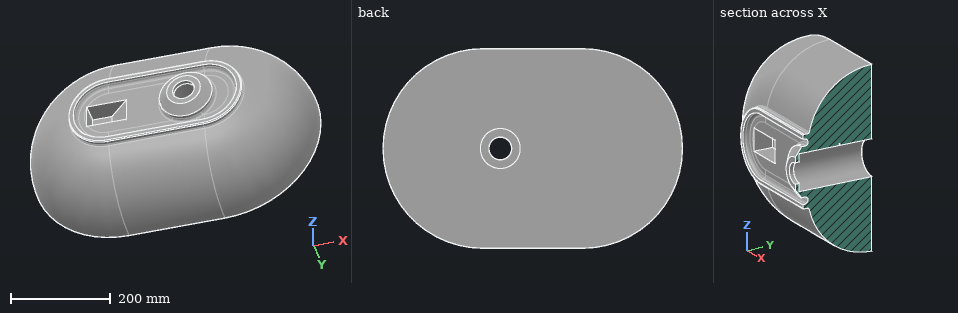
import cadquery as cq
import math

straight = 200.0
rim_radius = 200.0
bowl_depth = 150.0
bottom_radius = rim_radius - bowl_depth

foot_outer_radius = 80.0
foot_inner_radius = 70.0
foot_bottom = 161.0
foot_inner_draft = 10.0
foot_chamfer_height = 3.2
foot_chamfer_width = 1.3
foot_outer_root = 3.0
foot_inner_root = 6.5

drain_x = 65.0
drain_radius = 55.0
drain_tip_radius = 35.0
drain_cone_height = 15.0
drain_bottom = 179.0
drain_root = 5.0
drain_hole_radius = 22.5
drain_bore_radius = 40.0
drain_lip = 10.0

pocket_left = -145.0
pocket_right = -62.0
pocket_width = 50.0
pocket_depth = 43.0

overlap = 20.0
near = 0.05
rim_land = 0.001


def bowl_depth_at(radius):
    """Depth of the bowl's outer surface where its round end has the given radius."""
    return math.sqrt(bowl_depth**2 - (radius - bottom_radius) ** 2)


def depth_plane(depth):
    """Plane facing -Y at the given depth below the rim."""
    return cq.Workplane("XZ", origin=(0, -depth, 0))


def stadium(depth, radius, height, draft=0):
    """Round-ended block from a depth toward -Y, or toward +Y for a negative height."""
    outline = depth_plane(depth).slot2D(straight + 2 * radius, 2 * radius)
    return outline.extrude(height, taper=draft)


def make_bowl():
    """The wall is one quarter arc from the rim down to the flat bottom."""
    block = stadium(0, rim_radius, bowl_depth)
    return block.faces("<Y").edges().fillet(bowl_depth - rim_land)


def make_foot():
    """Ring with a steep outer chamfer and a drafted inner wall, wider at its open end."""
    height = foot_bottom - bowl_depth + overlap
    outer = stadium(foot_bottom, foot_outer_radius, -height)
    outer = outer.faces("<Y").chamfer(foot_chamfer_height, foot_chamfer_width)
    return outer.cut(stadium(foot_bottom, foot_inner_radius, -height, foot_inner_draft))


def make_drain():
    """Round boss with a conical end."""
    top = overlap - bowl_depth
    profile = [
        (0, top),
        (drain_radius, top),
        (drain_radius, drain_cone_height - drain_bottom),
        (drain_tip_radius, -drain_bottom),
        (0, -drain_bottom),
    ]
    boss = cq.Workplane("XY").polyline(profile).close().revolve(360, (0, 0, 0), (0, 1, 0))
    return boss.translate((drain_x, 0, 0))


def make_drain_bore():
    """Wide bore from the rim side that leaves a thin lip around the drain hole."""
    hole = depth_plane(0).center(drain_x, 0).circle(drain_hole_radius).extrude(drain_bottom)
    bore_depth = drain_bottom - drain_lip
    bore = depth_plane(0).center(drain_x, 0).circle(drain_bore_radius).extrude(bore_depth)
    return hole.union(bore)


def make_pocket():
    """Rectangular pocket opening on the bowl bottom."""
    top = pocket_depth - bowl_depth
    profile = [
        (pocket_left, -foot_bottom),
        (pocket_right, -foot_bottom),
        (pocket_right, -bowl_depth),
        (pocket_right - pocket_depth, top),
        (pocket_left, top),
    ]
    return cq.Workplane("XY").polyline(profile).close().extrude(pocket_width / 2, both=True)


def is_outer_foot_root(edge):
    """True for edges where the outside of the foot meets the bowl."""
    box = edge.BoundingBox()
    root = -bowl_depth_at(foot_outer_radius)
    return abs(box.ymin - root) < near and abs(box.ymax - root) < near


def is_inner_foot_root(edge):
    """True for edges at constant depth where the inside of the foot meets the bowl."""
    box = edge.BoundingBox()
    is_level = box.ymax - box.ymin < near
    return is_level and bowl_depth_at(foot_inner_radius) < -box.ymin < bowl_depth - 2 * near


def is_drain_root(edge):
    """True for edges where the drain boss meets the bowl bottom."""
    box = edge.BoundingBox()
    if -box.ymin > bowl_depth + near or -box.ymax < bowl_depth_at(drain_radius) - near:
        return False
    points = [edge.positionAt(fraction) for fraction in (0.25, 0.5, 0.75)]
    return all(abs(math.hypot(point.x - drain_x, point.z) - drain_radius) < near for point in points)


result = make_bowl().union(make_foot()).union(make_drain())
result = result.edges().filter(is_outer_foot_root).fillet(foot_outer_root)
result = result.edges().filter(is_inner_foot_root).fillet(foot_inner_root)
result = result.edges().filter(is_drain_root).fillet(drain_root)
result = result.cut(make_drain_bore()).cut(make_pocket())